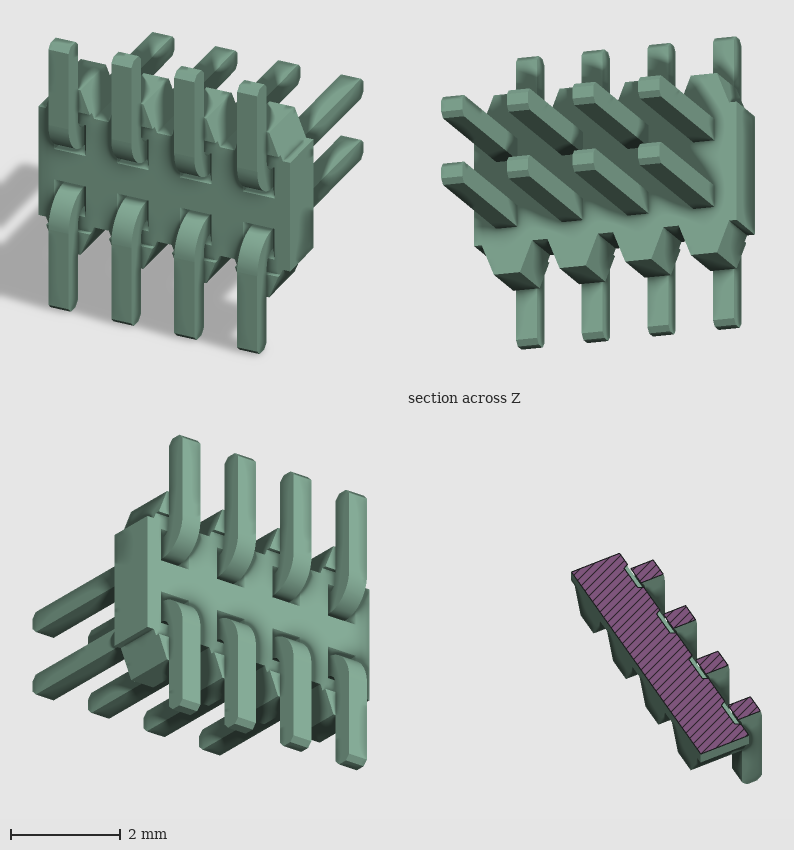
import cadquery as cq

columns = 4
pitch = 1.27

body_length = columns * pitch
body_depth = 1.0
body_height = 2.255

rib_rise = 0.585
rib_base_width = 0.975
rib_tip_width = 0.505
pad_rise = 0.09
pad_start = 0.115

pin_width = 0.405
pin_half = pin_width / 2
pin_chamfer = 0.1
pin_back_reach = 3.05
bend_outer_radius = 0.655
bend_inner_radius = bend_outer_radius - pin_width
leg_tip_height = 2.75

pocket_width = 0.64
pocket_depth = 0.2

body_half_height = body_height / 2
row_height = pitch / 2
leg_inner_y = -(body_depth + pad_rise)
leg_outer_y = leg_inner_y - pin_width
column_positions = [(i - (columns - 1) / 2) * pitch for i in range(columns)]


def mirrored_in_z(solid):
    """Join a solid with its mirror image below the XY plane."""
    return solid.union(solid.mirror("XY"))


def rib_width_at(rise):
    """Width of a rib at a given distance from the body edge."""
    return rib_base_width + (rib_tip_width - rib_base_width) * rise / rib_rise


def make_rib_slice(x, start_rise, depth):
    """Part of a rib from start_rise to its tip, extruded forward from the back face."""
    start_half = rib_width_at(start_rise) / 2
    tip_half = rib_tip_width / 2
    start_z = body_half_height + start_rise
    tip_z = body_half_height + rib_rise
    return (
        cq.Workplane("XZ")
        .moveTo(x - start_half, start_z)
        .lineTo(x + start_half, start_z)
        .lineTo(x + tip_half, tip_z)
        .lineTo(x - tip_half, tip_z)
        .close()
        .extrude(depth)
    )


def make_rib(x):
    """Full rib, flush with the body, plus the pad standing proud of the front face."""
    rib = make_rib_slice(x, 0, body_depth)
    pad = make_rib_slice(x, pad_start, body_depth + pad_rise)
    return rib.union(pad)


def make_pocket(x):
    """Square pyramid frustum cut into the front face around an upper pin."""
    return (
        cq.Workplane("XZ", origin=(x, -body_depth, row_height))
        .rect(pocket_width, pocket_width)
        .workplane(offset=-pocket_depth)
        .rect(pin_width, pin_width)
        .loft(ruled=True)
    )


def make_pin(x):
    """Upper pin: straight through the body, then a quarter bend into an upright leg."""
    top_z = row_height + pin_half
    bottom_z = row_height - pin_half
    bend_y = leg_outer_y + bend_outer_radius
    bend_z = bottom_z + bend_outer_radius
    outline = (
        cq.Workplane("YZ", origin=(x - pin_half, 0, 0))
        .moveTo(pin_back_reach, bottom_z)
        .lineTo(bend_y, bottom_z)
        .radiusArc((leg_outer_y, bend_z), bend_outer_radius)
        .lineTo(leg_outer_y, leg_tip_height)
        .lineTo(leg_inner_y, leg_tip_height)
        .lineTo(leg_inner_y, bend_z)
        .radiusArc((bend_y, top_z), -bend_inner_radius)
        .lineTo(pin_back_reach, top_z)
        .close()
    )
    pin = outline.extrude(pin_width)
    back_tip_edges = pin.faces(">Y").edges("|X")
    leg_tip_edges = pin.faces(">Z").edges("|X")
    return pin.newObject(back_tip_edges.vals() + leg_tip_edges.vals()).chamfer(pin_chamfer)


body = cq.Workplane("XY").box(body_length, body_depth, body_height).translate((0, -body_depth / 2, 0))

for column_x in column_positions:
    body = body.union(mirrored_in_z(make_rib(column_x)))

for column_x in column_positions:
    body = body.cut(mirrored_in_z(make_pocket(column_x)))

result = body
for column_x in column_positions:
    result = result.union(mirrored_in_z(make_pin(column_x)))